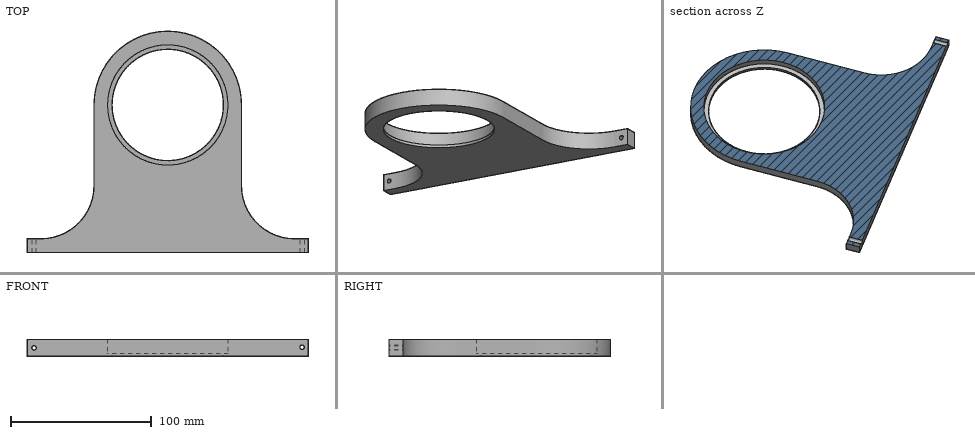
import cadquery as cq

base_length = 200.0
thickness = 12.0
flange_height = 10.0
head_width = 105.0
bore_center_y = 105.0
flange_flat = 10.0

seat_diameter = 85.5
bore_diameter = 79.0
seat_depth = 10.0

screw_hole_diameter = 3.0
left_hole_end_distance = 5.0
right_hole_offset = 0.5

half_base = base_length / 2
head_radius = head_width / 2
fillet_radius = half_base - flange_flat - head_radius
fillet_top_y = flange_height + fillet_radius


def make_plate():
    """Flanged plate with a round head and concave blends, standing on Z = 0."""
    flat_inner_x = half_base - flange_flat
    return (
        cq.Workplane("XY")
        .moveTo(-half_base, 0)
        .lineTo(half_base, 0)
        .lineTo(half_base, flange_height)
        .lineTo(flat_inner_x, flange_height)
        .radiusArc((head_radius, fillet_top_y), fillet_radius)
        .lineTo(head_radius, bore_center_y)
        .threePointArc((0, bore_center_y + head_radius), (-head_radius, bore_center_y))
        .lineTo(-head_radius, fillet_top_y)
        .radiusArc((-flat_inner_x, flange_height), fillet_radius)
        .lineTo(-half_base, flange_height)
        .close()
        .extrude(thickness)
    )


def cut_stepped_bore(plate):
    """Through bore with a wider seat sunk from the top face, leaving a thin lip."""
    return (
        plate.faces(">Z")
        .workplane(origin=(0, bore_center_y, thickness))
        .cboreHole(bore_diameter, seat_diameter, seat_depth)
    )


def cut_screw_holes(plate):
    """Two holes along Y, through the flange near its ends; the right one is slightly offset."""
    mirror_x = half_base - left_hole_end_distance
    mid_z = thickness / 2
    left_center = (-mirror_x, mid_z)
    right_center = (mirror_x + right_hole_offset, mid_z + right_hole_offset)
    holes = (
        cq.Workplane("XZ")
        .pushPoints([left_center, right_center])
        .circle(screw_hole_diameter / 2)
        .extrude(-flange_height)
    )
    return plate.cut(holes)


result = cut_screw_holes(cut_stepped_bore(make_plate()))